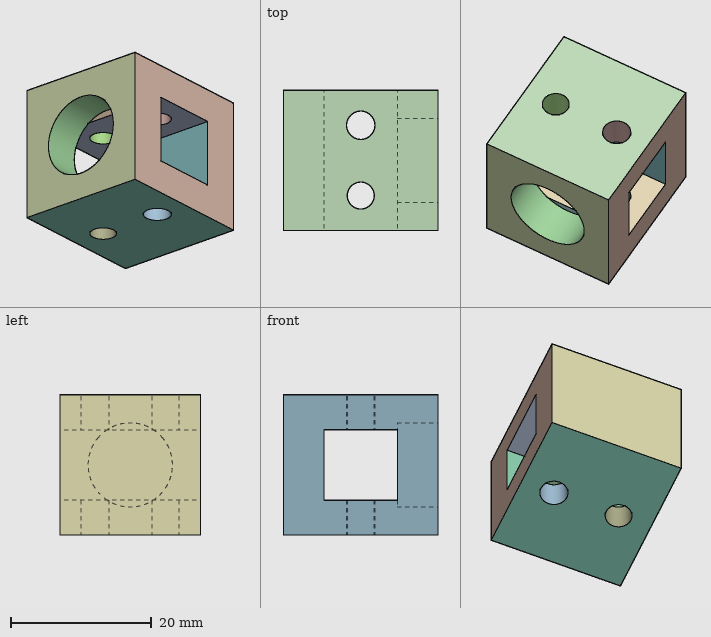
import cadquery as cq

length = 22.0
side = 20.0

window_width = 10.4
window_height = side / 2

hole_offset = side / 4
front_hole_diameter = 3.8
back_hole_diameter = 4.0

side_bore_diameter = 12.0


def vertical_hole(diameter, y):
    """Cutter for a round hole through the full height of the block."""
    return cq.Workplane("XY").center(0, y).circle(diameter / 2).extrude(side / 2, both=True)


block = cq.Workplane("XY").box(length, side, side)
window = cq.Workplane("XY").box(window_width, side, window_height)

wall_thickness = (length - window_width) / 2
side_bore = (
    cq.Workplane("YZ", origin=(window_width / 2, 0, 0))
    .circle(side_bore_diameter / 2)
    .extrude(wall_thickness)
)

result = block.cut(window).cut(side_bore)
for diameter, y in ((front_hole_diameter, -hole_offset), (back_hole_diameter, hole_offset)):
    result = result.cut(vertical_hole(diameter, y))